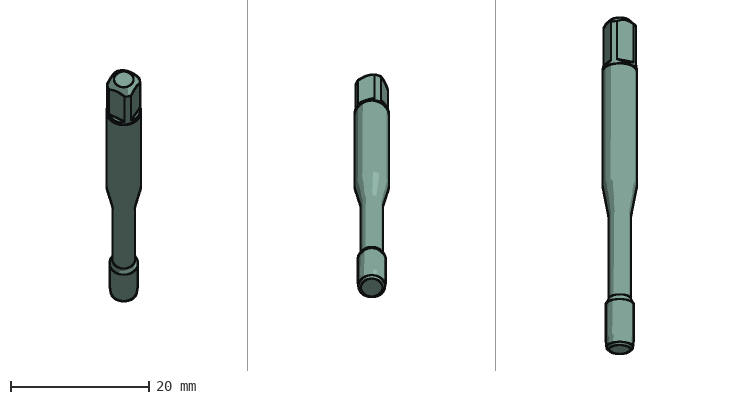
import cadquery as cq
import math

total_length = 52.1
head_length = 8.0
neck_top = 21.15
taper_top = 25.95
shank_top = 44.35

head_diameter = 4.1
lead_end_diameter = 3.85
tip_diameter = 3.1
tip_chamfer_height = 0.35
lead_top = 1.6
head_shoulder = 7.1
shoulder_angle = 30
neck_fillet_radius = 0.95

neck_diameter = 3.3
shank_diameter = 5.0

drive_diameter = 4.8
drive_width = 4.0
drive_chamfer = 1.0
flat_bottom = 45.05
flat_count = 4
run_out_angle = 45


def revolve_profile(outline):
    """Revolve (diameter, height) points, listed upwards, about the Z axis."""
    bottom = outline[0][1]
    top = outline[-1][1]
    edge = [(diameter / 2, height) for diameter, height in outline]
    profile = cq.Workplane("XZ").polyline([(0, bottom), *edge, (0, top)]).close()
    return profile.revolve(360, (0, 0), (0, 1))


def make_drive_flat_cutter():
    """Material beside the +X drive flat, ending below in a sloping run-out."""
    flat_distance = drive_width / 2
    reach = shank_diameter / 2 - flat_distance
    run_out_length = reach / math.tan(math.radians(run_out_angle))
    profile = cq.Workplane("XZ").polyline([
        (flat_distance, total_length),
        (flat_distance, flat_bottom),
        (shank_diameter / 2, flat_bottom - run_out_length),
        (shank_diameter / 2, total_length),
    ]).close()
    return profile.extrude(shank_diameter / 2, both=True)


def make_head():
    """Threading head with a tapered lead and a conical shoulder that blends into the neck."""
    neck_radius = neck_diameter / 2
    head_radius = head_diameter / 2

    def fillet_point(degrees):
        """Point on the concave fillet, swept from its tangent point on the neck."""
        angle = math.radians(degrees)
        radius = neck_radius + neck_fillet_radius * (1 - math.cos(angle))
        return radius, head_length - neck_fillet_radius * math.sin(angle)

    profile = (
        cq.Workplane("XZ")
        .lineTo(tip_diameter / 2, 0)
        .lineTo(lead_end_diameter / 2, tip_chamfer_height)
        .lineTo(head_radius, lead_top)
        .lineTo(head_radius, head_shoulder)
        .lineTo(*fillet_point(shoulder_angle))
        .threePointArc(fillet_point(shoulder_angle / 2), fillet_point(0))
        .lineTo(0, head_length)
        .close()
    )
    return profile.revolve(360, (0, 0), (0, 1))


def make_shank():
    """Neck, taper and shank, with a square drive at the top."""
    shank = revolve_profile([
        (neck_diameter, head_length),
        (neck_diameter, neck_top),
        (shank_diameter, taper_top),
        (shank_diameter, shank_top),
        (drive_diameter, shank_top),
        (drive_diameter, total_length - drive_chamfer),
        (drive_diameter - 2 * drive_chamfer, total_length),
    ])
    cutter = make_drive_flat_cutter()
    for index in range(flat_count):
        angle = index * 360 / flat_count
        shank = shank.cut(cutter.rotate((0, 0, 0), (0, 0, 1), angle))
    return shank


head = make_head()
shank = make_shank()

result = cq.Compound.makeCompound([head.val(), shank.val()])